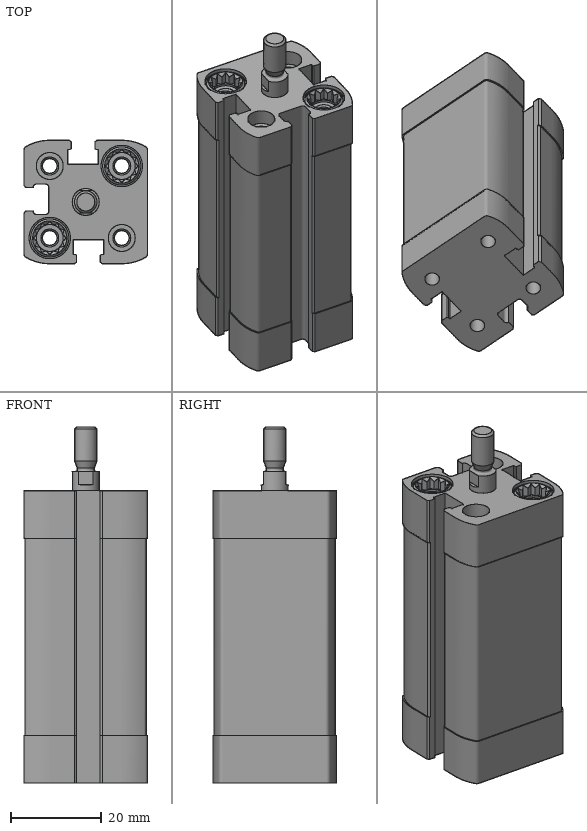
import cadquery as cq
import math

housing_length = 65.0
cap_width = 27.5
cap_length = 10.6
barrel_step = 0.25
crown_radius = 10.5
crown_inset = 5.75
corner_fillet = 0.9

slot_offset = 0.6
slot_mouth_width = 5.2
slot_inner_width = 6.7
slot_lip = 2.1
slot_depth = 5.35
side_slot_depth = 5.5
side_slot_fillet = 0.7
slot_mouth_chamfer_width = 0.5
slot_mouth_chamfer_depth = 0.4
slot_lip_chamfer = 0.25

hole_pitch = 16.0
counterbore_diameter = 6.0
counterbore_depth = 3.5
thread_bore_diameter = 3.24
thread_mouth_diameter = 4.0

head_seat_diameter = 9.2
head_diameter = 8.5
head_rim_diameter = 7.6
head_recess = 0.2
head_gap_depth = 0.8
socket_points = 12
socket_point_radius = 3.67
socket_ridge_radius = counterbore_diameter / 2
socket_depth = 3.0

rod_diameter = 6.0
rod_insertion = cap_length
shoulder_height = 4.3
flat_start = 1.43
flat_width = 5.0
flat_runout = 0.2
neck_diameter = 3.8
neck_fillet = 0.35
neck_top = 5.05
thread_diameter = 5.0
thread_start = 6.6
thread_chamfer = 0.5
rod_projection = 14.2


def outline_prism(width, bottom, height):
    """Square prism whose +Y and -Y faces curve down to the sides."""
    half = width / 2
    crown_start = half - crown_inset
    mid_angle = math.asin(crown_inset / crown_radius) / 2
    mid_x = crown_start + crown_radius * math.sin(mid_angle)
    mid_y = half - crown_radius * (1 - math.cos(mid_angle))
    side_y = half - crown_radius + math.sqrt(crown_radius**2 - crown_inset**2)
    return (
        cq.Workplane("XY", origin=(0, 0, bottom))
        .moveTo(-crown_start, half)
        .lineTo(crown_start, half)
        .threePointArc((mid_x, mid_y), (half, side_y))
        .lineTo(half, -side_y)
        .threePointArc((mid_x, -mid_y), (crown_start, -half))
        .lineTo(-crown_start, -half)
        .threePointArc((-mid_x, -mid_y), (-half, -side_y))
        .lineTo(-half, side_y)
        .threePointArc((-mid_x, mid_y), (-crown_start, half))
        .close()
        .extrude(height)
        .edges("|Z and (>X or <X)")
        .fillet(corner_fillet)
    )


def slot_mouth_cutter(mouth_y, floor_y):
    """Narrow part of a T-slot opening toward +Y, chamfered where it meets the face at mouth_y."""
    half_mouth = slot_mouth_width / 2
    flare = half_mouth + slot_mouth_chamfer_width
    chamfer_start = mouth_y - slot_mouth_chamfer_depth
    return (
        cq.Workplane("XY")
        .polyline([
            (-half_mouth, floor_y),
            (half_mouth, floor_y),
            (half_mouth, chamfer_start),
            (flare, mouth_y),
            (-flare, mouth_y),
            (-half_mouth, chamfer_start),
        ])
        .close()
        .extrude(housing_length)
    )


def plain_slot_cutter(mouth_y):
    """T-slot with a sharp-cornered floor and chamfered lips, opening toward +Y."""
    floor_y = cap_width / 2 - slot_depth
    lip_y = cap_width / 2 - slot_lip
    half_inner = slot_inner_width / 2
    half_mouth = slot_mouth_width / 2
    inner = (
        cq.Workplane("XY")
        .polyline([
            (-half_inner, floor_y),
            (half_inner, floor_y),
            (half_inner, lip_y),
            (half_mouth + slot_lip_chamfer, lip_y),
            (half_mouth, lip_y + slot_lip_chamfer),
            (-half_mouth, lip_y + slot_lip_chamfer),
            (-half_mouth - slot_lip_chamfer, lip_y),
            (-half_inner, lip_y),
        ])
        .close()
        .extrude(housing_length)
    )
    return inner.union(slot_mouth_cutter(mouth_y, floor_y))


def rounded_slot_cutter(mouth_y):
    """T-slot whose wide part has rounded corners, opening toward +Y."""
    floor_y = cap_width / 2 - side_slot_depth
    inner_length = side_slot_depth - slot_lip
    inner = (
        cq.Workplane("XY")
        .center(0, floor_y + inner_length / 2)
        .rect(slot_inner_width, inner_length)
        .extrude(housing_length)
        .edges("|Z")
        .fillet(side_slot_fillet)
    )
    return inner.union(slot_mouth_cutter(mouth_y, floor_y))


def slotted_prism(width, bottom, height):
    """One lengthwise stretch of the housing with its three T-slots."""
    prism = outline_prism(width, bottom, height)
    face = width / 2
    plain_slot = plain_slot_cutter(face).translate((-slot_offset, 0, 0))
    side_slot = rounded_slot_cutter(face).translate((slot_offset, 0, 0))
    axis = ((0, 0, 0), (0, 0, 1))
    prism = prism.cut(plain_slot)
    prism = prism.cut(plain_slot.rotate(*axis, 180))
    return prism.cut(side_slot.rotate(*axis, 90))


def revolve_profile(points):
    """Solid of revolution about Z from (radius, height) points; the axis closes it."""
    return cq.Workplane("XZ").polyline(points).close().revolve(360, (0, 0), (0, 1))


def corner_hole_cutter():
    """Counterbored through hole with a chamfered thread bore; top face at z = 0."""
    bore = thread_bore_diameter / 2
    mouth = thread_mouth_diameter / 2
    counterbore = counterbore_diameter / 2
    return revolve_profile([
        (0, 0),
        (counterbore, 0),
        (counterbore, -counterbore_depth),
        (mouth, -counterbore_depth),
        (bore, -counterbore_depth - (mouth - bore)),
        (bore, -housing_length),
        (0, -housing_length),
    ])


def screw_head_cutter():
    """Seat around a screw head and its twelve-point socket; top face at z = 0."""
    seat = head_seat_diameter / 2
    head = head_diameter / 2
    rim = head_rim_diameter / 2
    seat_and_mouth = revolve_profile([
        (0, 0),
        (seat, 0),
        (seat, -head_gap_depth),
        (head, -head_gap_depth),
        (head, -head_recess - (head - rim)),
        (rim, -head_recess),
        (0, -head_recess - rim),
    ])

    star = []
    for corner in range(2 * socket_points):
        angle = math.pi * corner / socket_points
        radius = socket_ridge_radius if corner % 2 else socket_point_radius
        star.append((radius * math.cos(angle), radius * math.sin(angle)))
    socket = cq.Workplane("XY").polyline(star).close().extrude(-socket_depth)

    return seat_and_mouth.union(socket)


def make_housing():
    barrel_length = housing_length - 2 * cap_length
    barrel_width = cap_width - 2 * barrel_step
    top_cap_bottom = housing_length - cap_length
    housing = (
        slotted_prism(cap_width, 0, cap_length)
        .union(slotted_prism(barrel_width, cap_length, barrel_length))
        .union(slotted_prism(cap_width, top_cap_bottom, cap_length))
    )

    reach = hole_pitch / 2
    for side_x in (-1, 1):
        for side_y in (-1, 1):
            corner = (side_x * reach, side_y * reach, housing_length)
            housing = housing.cut(corner_hole_cutter().translate(corner))
            if side_x == side_y:
                housing = housing.cut(screw_head_cutter().translate(corner))

    rod_bore = (
        cq.Workplane("XY", origin=(0, 0, housing_length))
        .circle(rod_diameter / 2)
        .extrude(-rod_insertion)
    )
    return housing.cut(rod_bore)


def make_piston_rod():
    """Rod with wrench flats, an undercut neck and a threaded tip."""
    rod_radius = rod_diameter / 2
    neck = neck_diameter / 2
    thread = thread_diameter / 2
    bend = neck_fillet * (1 - math.sqrt(0.5))
    rod = (
        cq.Workplane("XZ")
        .moveTo(0, -rod_insertion)
        .lineTo(rod_radius, -rod_insertion)
        .lineTo(rod_radius, shoulder_height)
        .lineTo(neck + neck_fillet, shoulder_height)
        .threePointArc((neck + bend, shoulder_height + bend), (neck, shoulder_height + neck_fillet))
        .lineTo(neck, neck_top)
        .lineTo(thread, thread_start)
        .lineTo(thread, rod_projection - thread_chamfer)
        .lineTo(thread - thread_chamfer, rod_projection)
        .lineTo(0, rod_projection)
        .close()
        .revolve(360, (0, 0), (0, 1))
    )

    flat_depth = (rod_diameter - flat_width) / 2
    flat_cut = (
        cq.Workplane("YZ")
        .polyline([
            (flat_width / 2, shoulder_height),
            (flat_width / 2, flat_start),
            (flat_width / 2 + flat_depth, flat_start - flat_runout),
            (flat_width / 2 + flat_depth, shoulder_height),
        ])
        .close()
        .extrude(rod_radius, both=True)
    )
    rod = rod.cut(flat_cut)
    rod = rod.cut(flat_cut.mirror("XZ"))
    return rod.translate((0, 0, housing_length))


housing = make_housing()
piston_rod = make_piston_rod()

result = cq.Compound.makeCompound([housing.val(), piston_rod.val()])